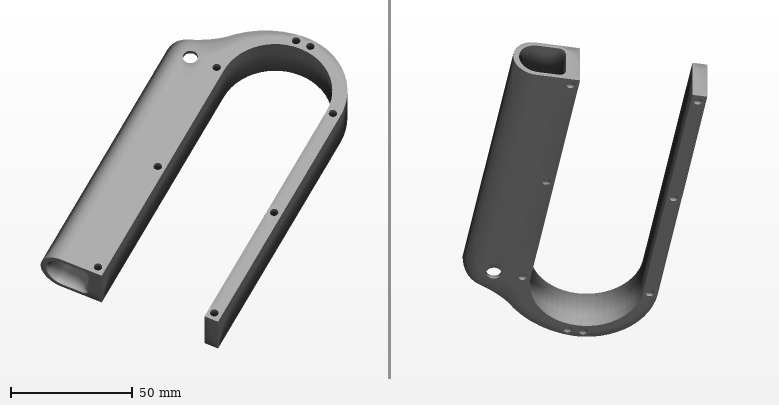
import cadquery as cq

width = 81.4
length = 145.4
height = 19.0

slot_radius = 23.5
arm_wall = 6.3
bend_radius = slot_radius + arm_wall
bend_x = width - bend_radius
bend_y = length - bend_radius

edge_radius = height / 2
channel_left = 2.5
channel_right = 22.1
channel_height = 15.5
channel_radius = channel_height / 2
channel_corner = 3.0

shoulder_start = (0.0, 117.9)
shoulder_points = [(2.5, 121.0), (9.7, 123.9), (13.4, 125.6), (24.1, 133.9)]
crown_arc_middle = (36.5, 142.0)

screw_diameter = 3.5
screw_inset = 3.3
screw_rows = [screw_inset, 59.9, bend_y]
screw_columns = [bend_x - slot_radius - screw_inset, width - screw_inset]
top_screw_spacing = 6.5
cross_hole_diameter = 6.3
cross_hole_x = edge_radius + cross_hole_diameter / 2


def make_body():
    """Flat U-shaped frame, with its handle blended into the bend."""
    frame = (
        cq.Workplane("XY")
        .moveTo(0, 0)
        .lineTo(*shoulder_start)
        .spline(shoulder_points, includeCurrent=True)
        .threePointArc(crown_arc_middle, (bend_x, length))
        .radiusArc((width, bend_y), bend_radius)
        .lineTo(width, 0)
        .lineTo(bend_x + slot_radius, 0)
        .lineTo(bend_x + slot_radius, bend_y)
        .radiusArc((bend_x - slot_radius, bend_y), -slot_radius)
        .lineTo(bend_x - slot_radius, 0)
        .close()
        .extrude(height)
    )
    rounded_section = (
        cq.Workplane("XZ")
        .moveTo(edge_radius, 0)
        .lineTo(width, 0)
        .lineTo(width, height)
        .lineTo(edge_radius, height)
        .threePointArc((0, height / 2), (edge_radius, 0))
        .close()
        .extrude(-length)
    )
    return frame.intersect(rounded_section)


def make_channel():
    """Lengthwise opening: round on the left, small rounded corners on the right."""
    bottom = (height - channel_height) / 2
    top = bottom + channel_height
    arc_x = channel_left + channel_radius
    return (
        cq.Workplane("XZ")
        .moveTo(arc_x, bottom)
        .lineTo(channel_right, bottom)
        .lineTo(channel_right, top)
        .lineTo(arc_x, top)
        .threePointArc((channel_left, height / 2), (arc_x, bottom))
        .close()
        .extrude(-length)
        .edges("|Y and >X")
        .fillet(channel_corner)
    )


def make_holes(points, diameter):
    """Vertical holes through the full height."""
    return cq.Workplane("XY").pushPoints(points).circle(diameter / 2).extrude(height)


screw_points = [(x, y) for x in screw_columns for y in screw_rows]
screw_points += [(bend_x + side * top_screw_spacing / 2, length - screw_inset) for side in (-1, 1)]

result = (
    make_body()
    .cut(make_channel())
    .cut(make_holes(screw_points, screw_diameter))
    .cut(make_holes([(cross_hole_x, bend_y)], cross_hole_diameter))
)